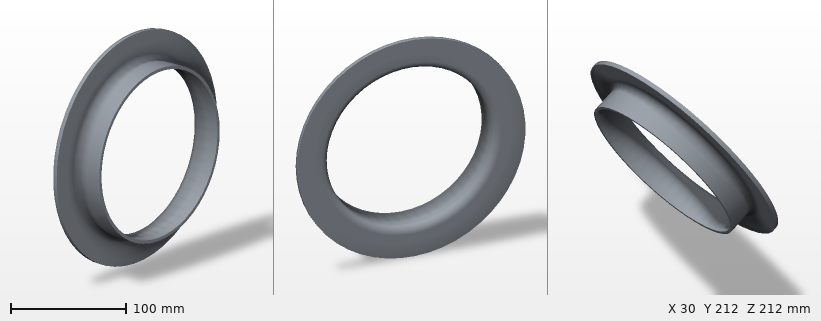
import cadquery as cq

flange_diameter = 212.0
tube_outer_diameter = 159.0
tube_inner_diameter = 153.0
total_length = 30.0
flange_thickness = 4.0
mouth_radius = 7.0
neck_radius = 5.0

flange_radius = flange_diameter / 2
outer_radius = tube_outer_diameter / 2
inner_radius = tube_inner_diameter / 2

section = (
    cq.Workplane("XY")
    .moveTo(0, inner_radius + mouth_radius)
    .lineTo(0, flange_radius)
    .lineTo(flange_thickness, flange_radius)
    .lineTo(flange_thickness, outer_radius + neck_radius)
    .tangentArcPoint((flange_thickness + neck_radius, outer_radius), relative=False)
    .lineTo(total_length, outer_radius)
    .lineTo(total_length, inner_radius)
    .lineTo(mouth_radius, inner_radius)
    .tangentArcPoint((0, inner_radius + mouth_radius), relative=False)
    .close()
)

result = section.revolve(360, (0, 0, 0), (1, 0, 0))